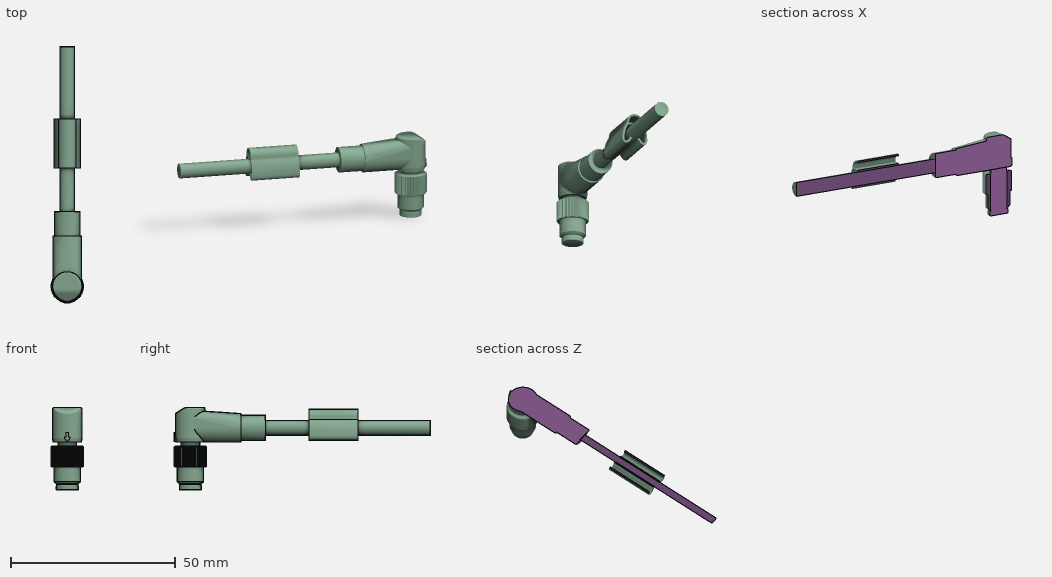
import cadquery as cq
import math


cable_radius = 2.25
overall_length = 77.75

head_radius = 4.5
head_top_z = 6.2
head_edge_fillet = 0.6
head_base_chamfer_height = 1.2
head_base_chamfer_inset = 0.2
slope_corner_y = -1.55
slope_angle = 32.0
slope_bend_radius = 2.5
tail_radius = 4.35
tail_end_y = 15.3
tail_root_top_z = 5.4
tail_root_corner_radius = 2.25
tail_end_flat = 0.015
sleeve_radius = 3.9
sleeve_end_y = 22.8
head_bottom_z = -tail_radius

arrow_front_y = -4.9
arrow_top_z = -1.5
arrow_shoulder_z = -2.7
arrow_barb_z = -3.2
arrow_tip_z = -4.2
arrow_stem_half_width = 0.4
arrow_head_half_width = 0.85

nut_top_z = -5.45
nut_bottom_z = -11.9
nut_radius = 9.9 / 2
knurl_depth = 0.27
knurl_count = 64
nut_bottom_chamfer = 0.3
nut_top_chamfer_height = 0.4
nut_top_chamfer_width = 0.55
thread_radius = 4.05
thread_bottom_z = -16.95
thread_chamfer_height = 0.6
thread_chamfer_width = 0.7

carrier_radius = 2.9
tip_radius = 3.35
tip_bottom_z = -18.9
tip_collar_radius = 3.3
tip_collar_top_z = -17.2
tip_collar_bottom_z = -17.7
tip_chamfer = 0.15

clip_start_y = 35.9
clip_length = 15.0
clip_wall = 0.6
clip_top_z = 5.7
clip_arch_radius = 2.5
clip_floor_z = 2.5
clip_waist_z = 2.5
clip_half_width = 4.05
clip_arm_radius = 8.2
clip_arm_bottom_z = -2.0
clip_lip_radius = 1.25
clip_bottom_z = -3.8
clip_leg_angle = 53.0
clip_leg_length = 1.3


def cylinder_along_y(radius, start_y, end_y):
    return cq.Workplane("XZ", origin=(0, start_y, 0)).circle(radius).extrude(start_y - end_y)


def turned(points):
    """Solid of revolution about Z from (radius, z) points."""
    return cq.Workplane("XZ").polyline(points).close().revolve(360, (0, 0), (0, 1))


def make_head():
    head = turned([
        (0, head_bottom_z),
        (head_radius - head_base_chamfer_inset, head_bottom_z),
        (head_radius, head_bottom_z + head_base_chamfer_height),
        (head_radius, head_top_z),
        (0, head_top_z),
    ])
    slope = math.radians(slope_angle)
    bend_length = slope_bend_radius * math.tan(slope / 2)
    bend_start_y = slope_corner_y + bend_length
    bend_end = (
        slope_corner_y - bend_length * math.cos(slope),
        head_top_z - bend_length * math.sin(slope),
    )
    bend_middle = (
        bend_start_y - slope_bend_radius * math.sin(slope / 2),
        head_top_z - slope_bend_radius * (1 - math.cos(slope / 2)),
    )
    front_y = -2 * head_radius
    slope_foot_z = head_top_z - (slope_corner_y - front_y) * math.tan(slope)
    waste = (
        cq.Workplane("YZ")
        .moveTo(bend_start_y, head_top_z)
        .threePointArc(bend_middle, bend_end)
        .lineTo(front_y, slope_foot_z)
        .lineTo(front_y, head_top_z)
        .close()
        .extrude(head_radius * 2, both=True)
    )
    head = head.cut(waste)
    rim = [
        edge
        for edge in head.edges().vals()
        if edge.geomType() != "LINE" and edge.Center().z > 0
    ]
    return head.newObject(rim).fillet(head_edge_fillet)


def tail_section(y, top_z, corner_radius):
    """Closed section: a half circle below, flat sides, rounded upper corners and a flat top."""
    diagonal = corner_radius * math.sqrt(0.5)
    corner_x = tail_radius - corner_radius
    corner_z = top_z - corner_radius
    return (
        cq.Workplane("XZ", origin=(0, y, 0))
        .moveTo(-tail_radius, 0)
        .threePointArc((0, -tail_radius), (tail_radius, 0))
        .lineTo(tail_radius, corner_z)
        .threePointArc((corner_x + diagonal, corner_z + diagonal), (corner_x, top_z))
        .lineTo(-corner_x, top_z)
        .threePointArc((-corner_x - diagonal, corner_z + diagonal), (-tail_radius, corner_z))
        .close()
        .val()
    )


def make_tail():
    root = tail_section(0, tail_root_top_z, tail_root_corner_radius)
    end = tail_section(tail_end_y, tail_radius, tail_radius - tail_end_flat)
    return cq.Workplane(cq.Solid.makeLoft([root, end], True))


def make_arrow():
    right_half = [
        (arrow_stem_half_width, arrow_top_z),
        (arrow_stem_half_width, arrow_shoulder_z),
        (arrow_head_half_width, arrow_shoulder_z),
        (arrow_head_half_width, arrow_barb_z),
    ]
    left_half = [(-x, z) for x, z in reversed(right_half)]
    outline = right_half + [(0, arrow_tip_z)] + left_half
    return (
        cq.Workplane("XZ", origin=(0, arrow_front_y, 0))
        .polyline(outline)
        .close()
        .extrude(arrow_front_y)
    )


def make_housing():
    sleeve = cylinder_along_y(sleeve_radius, tail_end_y, sleeve_end_y)
    return make_head().union(make_tail()).union(sleeve).union(make_arrow())


def make_cable():
    cable_end_y = overall_length - nut_radius
    return cylinder_along_y(cable_radius, sleeve_end_y, cable_end_y)


def polar_point(radius, angle):
    return (radius * math.cos(angle), radius * math.sin(angle))


def make_nut():
    pitch = 2 * math.pi / knurl_count
    valley_radius = nut_radius - knurl_depth
    knurl = []
    for index in range(knurl_count):
        knurl.append(polar_point(valley_radius, index * pitch))
        knurl.append(polar_point(nut_radius, (index + 0.5) * pitch))
    grip = (
        cq.Workplane("XY", origin=(0, 0, nut_bottom_z))
        .polyline(knurl)
        .close()
        .extrude(nut_top_z - nut_bottom_z)
    )
    envelope = turned([
        (0, nut_bottom_z),
        (nut_radius - nut_bottom_chamfer, nut_bottom_z),
        (nut_radius + nut_bottom_chamfer, nut_bottom_z + 2 * nut_bottom_chamfer),
        (nut_radius + nut_top_chamfer_width, nut_top_z - 2 * nut_top_chamfer_height),
        (nut_radius - nut_top_chamfer_width, nut_top_z),
        (0, nut_top_z),
    ])
    thread = turned([
        (0, nut_bottom_z),
        (thread_radius, nut_bottom_z),
        (thread_radius, thread_bottom_z + thread_chamfer_height),
        (thread_radius - thread_chamfer_width, thread_bottom_z),
        (0, thread_bottom_z),
    ])
    bore = (
        cq.Workplane("XY", origin=(0, 0, thread_bottom_z))
        .circle(carrier_radius)
        .extrude(nut_top_z - thread_bottom_z)
    )
    return grip.intersect(envelope).union(thread).cut(bore)


def make_carrier():
    return turned([
        (0, head_bottom_z),
        (carrier_radius, head_bottom_z),
        (carrier_radius, tip_collar_top_z),
        (tip_collar_radius, tip_collar_top_z),
        (tip_radius, tip_collar_bottom_z),
        (tip_radius, tip_bottom_z + tip_chamfer),
        (tip_radius - tip_chamfer, tip_bottom_z),
        (0, tip_bottom_z),
    ])


def clip_strip(path):
    """Wall of even thickness that follows a path in the XZ plane."""
    return path.offset2D(clip_wall / 2).extrude(-clip_length)


def make_clip():
    half_wall = clip_wall / 2
    plane = cq.Workplane("XZ", origin=(0, clip_start_y, 0))

    arm_radius = clip_arm_radius - half_wall
    arm_x = clip_half_width - half_wall
    arm_centre_x = arm_x - arm_radius
    arm_sweep = math.asin((clip_waist_z - clip_arm_bottom_z) / arm_radius)
    waist_x = arm_centre_x + arm_radius * math.cos(arm_sweep)
    arm_middle = (
        arm_centre_x + arm_radius * math.cos(arm_sweep / 2),
        clip_arm_bottom_z + arm_radius * math.sin(arm_sweep / 2),
    )

    lip_radius = clip_lip_radius - half_wall
    lip_x = arm_x - lip_radius
    lip_z = clip_bottom_z + clip_lip_radius
    leg = math.radians(clip_leg_angle)
    leg_foot = (lip_x - lip_radius * math.sin(leg), lip_z - lip_radius * math.cos(leg))
    leg_tip = (
        leg_foot[0] - clip_leg_length * math.cos(leg),
        leg_foot[1] + clip_leg_length * math.sin(leg),
    )

    arch_radius = clip_arch_radius - half_wall
    arch_z = clip_top_z - clip_arch_radius
    arch = clip_strip(
        plane.moveTo(-waist_x, clip_waist_z)
        .lineTo(-arch_radius, arch_z)
        .threePointArc((0, arch_z + arch_radius), (arch_radius, arch_z))
        .lineTo(waist_x, clip_waist_z)
    )
    floor = plane.center(0, clip_floor_z).rect(2 * waist_x, clip_wall).extrude(-clip_length)
    arm = clip_strip(
        plane.moveTo(waist_x, clip_waist_z)
        .threePointArc(arm_middle, (arm_x, clip_arm_bottom_z))
        .lineTo(arm_x, lip_z)
        .threePointArc((lip_x, lip_z - lip_radius), leg_foot)
        .lineTo(*leg_tip)
    )
    clip = arch.union(floor).union(arm).union(arm.mirror("YZ"))
    return clip.cut(cylinder_along_y(cable_radius, clip_start_y, clip_start_y + clip_length))


housing = make_housing()
cable = make_cable()
nut = make_nut()
carrier = make_carrier()
clip = make_clip()

result = cq.Compound.makeCompound([
    housing.val(),
    cable.val(),
    nut.val(),
    carrier.val(),
    clip.val(),
])